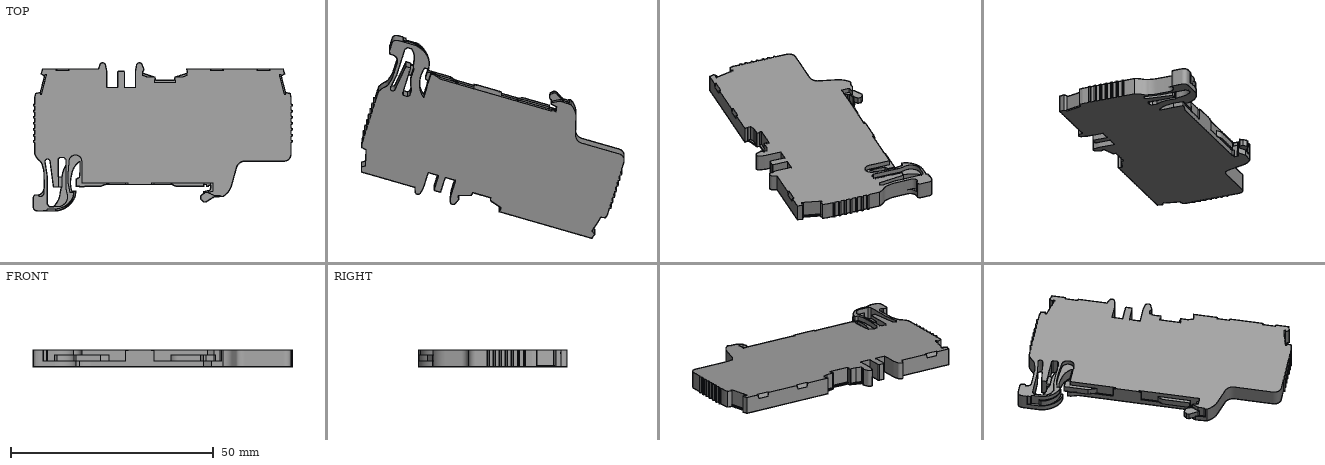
import cadquery as cq

THICKNESS = 4.2
BASE_TOP = 1.4
MID_TOP = 3.0
LEDGE_TOP = 0.35
GUSSET_TOP = 1.25

MID_X = 32.0
SIDE_X = 0.4
TOP_Y = 35.1
RAIL_Y = 6.9
STRIP_Y = 6.55
RAIL_LEFT_X = 12.0
RAIL_RIGHT_X = 44.4
RIGHT_STEP_Y = 12.3
RIGHT_CORNER_R = 1.75
MIDDLE_PAD = (22.8, 29.85)
PAD_STEP = 0.6
PAD_STEP_Z = 4.0

BLOCK_LEFT_X = 10.6
BLOCK_TOP_Y = 7.9
BLOCK_FACE_Y = 6.1
BASE_LEFT_X = 11.5
HOOK_WALL_X = 43.75

ARM_X = 2.7
TOE_TOP_Y = 4.0
GUSSET_START_X = 1.3
GUSSET_END_Y = 5.8
FINGER_RIGHT_X = 6.25
FINGER_END_Y = 5.9
SLOT_END_Y = 1.15

PLUG_X = 21.7
PLUG_FLOOR_Y = 30.5
PLUG_HALF = 3.53
POST_HALF = 0.85
POST_TOP_Y = 34.5
POST_CHAMFER = 0.2
EAR_TIP_Y = 36.62
EAR_SHOULDER_Y = 36.1
EAR_WALL_TOP_Y = 34.6

BRIDGE_X = 32.5
BRIDGE_FLOOR_Y = 32.3
BRIDGE_RECESS_Y = 31.75
BRIDGE_FLOOR_HALF = 2.3
BRIDGE_RECESS_HALF = 2.6
LIP_HALF = 5.5
LIP_STEP_Y = 33.05

RIB_COUNT = 7
RIB_PITCH = 1.49
RIB_FIRST_Y = 17.2
RIB_HEIGHT = 0.33
RIB_ROOT = 0.6
RIB_TIP = 0.35
SCOOP_CENTRES = (7.3, 45.3, 56.8)
SCOOP_LENGTH = 3.2
SCOOP_RUNOUT = 0.3
SCOOP_DEPTH = 0.4
SCOOP_DROP = 1.0
WEB_WIDTH = 0.9
WEB_UPPER_Y = 8.45
WEB_BOTTOM = 2.4
WEB_TOP = 3.4
CLEAR = 2.0


def layer(profile, bottom, top):
    """Close a profile and extrude it between two heights."""
    return profile.close().extrude(top - bottom).translate((0, 0, bottom))


def polygon(points, bottom, top):
    """Straight-sided prism between two heights."""
    return layer(cq.Workplane("XY").polyline(points), bottom, top)


def box(x_range, y_range, bottom, top):
    """Rectangular block between two heights."""
    (x0, x1), (y0, y1) = x_range, y_range
    return polygon([(x0, y0), (x1, y0), (x1, y1), (x0, y1)], bottom, top)


def mirrored(points, axis_x):
    """Points mirrored about x = axis_x, in reverse order."""
    return [(2 * axis_x - x, y) for x, y in reversed(points)]


def housing():
    """Full-thickness silhouette, clockwise from the lower left of the side wall."""
    flank = [
        (SIDE_X, 28.1), (0.6, 29.05), (1.75, 29.25), (2.8, 33.3), (1.95, 33.85), (2.2, 34.6), (2.3, TOP_Y),
    ]
    lip = [(LIP_HALF - 0.4, 34.9), (LIP_HALF, 34.4), (LIP_HALF - 0.1, 34.0),
           (BRIDGE_FLOOR_HALF + 0.15, LIP_STEP_Y), (BRIDGE_FLOOR_HALF, BRIDGE_FLOOR_Y)]
    left_lip = [(BRIDGE_X - dx, y) for dx, y in lip]
    right_lip = [(BRIDGE_X + dx, y) for dx, y in reversed(lip[1:])]
    right_lip.append((BRIDGE_X + LIP_HALF - 0.2, TOP_Y))
    plug_left = PLUG_X - PLUG_HALF
    plug_right = PLUG_X + PLUG_HALF
    post_left = PLUG_X - POST_HALF
    post_right = PLUG_X + POST_HALF
    post_shoulder = POST_TOP_Y - POST_CHAMFER
    right_x = 2 * MID_X - SIDE_X

    profile = cq.Workplane("XY").moveTo(SIDE_X, 14.1)
    for point in flank:
        profile = profile.lineTo(*point)
    profile = (
        profile
        .lineTo(16.1, TOP_Y)
        .lineTo(16.45, EAR_SHOULDER_Y)
        .threePointArc((17.15, EAR_TIP_Y), (17.85, EAR_SHOULDER_Y))
        .lineTo(plug_left, EAR_WALL_TOP_Y)
        .lineTo(plug_left, PLUG_FLOOR_Y)
        .lineTo(post_left, PLUG_FLOOR_Y)
        .lineTo(post_left, post_shoulder)
        .lineTo(post_left + POST_CHAMFER, POST_TOP_Y)
        .lineTo(post_right - POST_CHAMFER, POST_TOP_Y)
        .lineTo(post_right, post_shoulder)
        .lineTo(post_right, PLUG_FLOOR_Y)
        .lineTo(plug_right, PLUG_FLOOR_Y)
        .lineTo(plug_right, EAR_WALL_TOP_Y)
        .lineTo(25.5, EAR_SHOULDER_Y)
        .threePointArc((26.2, EAR_TIP_Y), (26.9, EAR_SHOULDER_Y))
    )
    for point in left_lip + right_lip + mirrored(flank, MID_X):
        profile = profile.lineTo(*point)
    profile = (
        profile
        .lineTo(right_x, RIGHT_STEP_Y + RIGHT_CORNER_R)
        .radiusArc((right_x - RIGHT_CORNER_R, RIGHT_STEP_Y), RIGHT_CORNER_R)
        .lineTo(52.2, RIGHT_STEP_Y)
        .threePointArc((50.9, 11.85), (50.15, 10.7))
        .lineTo(49.0, 6.5)
        .tangentArcPoint((46.85, 3.6), relative=False)
        .lineTo(44.0, 3.46)
        .lineTo(42.05, 4.5)
        .lineTo(42.05, 4.85)
        .lineTo(43.55, 5.15)
        .lineTo(HOOK_WALL_X, 5.7)
        .lineTo(HOOK_WALL_X, 6.4)
        .lineTo(43.3, 6.35)
        .lineTo(43.2, 6.1)
        .lineTo(42.8, 6.1)
        .lineTo(42.7, STRIP_Y)
        .lineTo(14.2, STRIP_Y)
        .lineTo(12.3, 5.95)
        .lineTo(BASE_LEFT_X, 5.95)
        .lineTo(BLOCK_LEFT_X, BLOCK_FACE_Y)
        .lineTo(BLOCK_LEFT_X, 4.95)
        .lineTo(10.4, 3.7)
        .threePointArc((8.6, 1.2), (5.5, 0))
        .lineTo(1.4, 0)
        .lineTo(1.0, 0.05)
        .threePointArc((0.295, 0.37), (0, 1.1))
        .lineTo(0, 3.2)
        .threePointArc((0.106, 3.647), (0.4, TOE_TOP_Y))
        .lineTo(GUSSET_START_X, TOE_TOP_Y)
        .threePointArc((2.31, 4.66), (ARM_X, GUSSET_END_Y))
        .lineTo(ARM_X, 7.05)
        .lineTo(2.67, 8.9)
        .threePointArc((2.6, 10.0), (2.3, 11.1))
        .threePointArc((2.05, 11.85), (1.6, 12.4))
        .threePointArc((0.9, 13.15), (SIDE_X, 14.1))
    )
    return layer(profile, 0, THICKNESS)


def toe_relief():
    """Sharpens the inside corner between arm and toe above the gusset."""
    profile = (
        cq.Workplane("XY")
        .moveTo(GUSSET_START_X, GUSSET_END_Y)
        .lineTo(ARM_X, GUSSET_END_Y)
        .lineTo(ARM_X, 4.6)
        .tangentArcPoint((1.45, 3.65), relative=False)
        .lineTo(GUSSET_START_X, TOE_TOP_Y)
    )
    return layer(profile, GUSSET_TOP, THICKNESS)


def arm_slot():
    """Through slot beside the outer spring arm, wide below the finger."""
    profile = (
        cq.Workplane("XY")
        .moveTo(2.95, 12.3)
        .threePointArc((3.5, 12.85), (4.15, 12.3))
        .lineTo(5.0, FINGER_END_Y)
        .lineTo(6.95, FINGER_END_Y)
        .lineTo(6.65, 4.6)
        .threePointArc((6.2, 2.75), (5.05, SLOT_END_Y))
        .lineTo(3.95, SLOT_END_Y)
        .lineTo(3.5, 1.8)
        .lineTo(3.5, 8.7)
    )
    return layer(profile, 0, THICKNESS)


def beam_slot():
    """Through slot between the finger and the curved spring beam."""
    profile = (
        cq.Workplane("XY")
        .moveTo(FINGER_RIGHT_X, FINGER_END_Y)
        .lineTo(FINGER_RIGHT_X, 12.85)
        .lineTo(6.6, 13.2)
        .lineTo(7.65, 13.2)
        .lineTo(8.08, 12.7)
        .lineTo(8.08, 11.4)
        .threePointArc((7.3, 9.5), (7.05, 7.9))
        .lineTo(7.15, FINGER_END_Y)
    )
    return layer(profile, 0, THICKNESS)


def beam_floor():
    """Lowers the left half of the spring beam."""
    profile = (
        cq.Workplane("XY")
        .moveTo(FINGER_RIGHT_X, 12.7)
        .lineTo(8.08, 12.7)
        .lineTo(8.1, 5.6)
        .lineTo(8.32, 4.5)
        .threePointArc((8.1, 2.2), (6.6, SLOT_END_Y))
        .lineTo(4.0, SLOT_END_Y)
        .lineTo(5.0, FINGER_END_Y)
        .lineTo(FINGER_RIGHT_X, FINGER_END_Y)
    )
    return layer(profile, MID_TOP, THICKNESS)


def crescent():
    """Through opening between the spring beam and the body."""
    profile = (
        cq.Workplane("XY")
        .moveTo(9.55, 4.95)
        .threePointArc((9.25, 6.9), (9.55, 9.1))
        .threePointArc((10.35, 11.1), (11.55, 12.3))
        .lineTo(11.55, 9.9)
        .lineTo(11.4, 8.35)
        .lineTo(BLOCK_LEFT_X, BLOCK_TOP_Y)
        .lineTo(BLOCK_LEFT_X, 4.95)
    )
    return layer(profile, 0, THICKNESS)


def spring_relief():
    """Upper pocket beside the body, running out along the rim of the foot."""
    profile = (
        cq.Workplane("XY")
        .moveTo(RAIL_LEFT_X, RAIL_Y)
        .lineTo(RAIL_LEFT_X, 12.4)
        .threePointArc((10.43, 13.85), (8.88, 12.4))
        .lineTo(8.65, 9.6)
        .lineTo(8.65, 6.8)
        .lineTo(9.1, 4.55)
        .lineTo(10.0, 4.55)
        .lineTo(9.85, 3.6)
        .threePointArc((8.3, 1.55), (5.3, 0.55))
        .lineTo(5.3, -CLEAR)
        .lineTo(RAIL_LEFT_X, -CLEAR)
    )
    return layer(profile, MID_TOP, THICKNESS)


def foot_recess():
    """Recess in the lower face of the foot."""
    points = [(2.5, 0), (2.6, 0.12), (3.3, 0.12), (3.5, 0.55), (5.3, 0.55), (6.05, 0)]
    return polygon(points, BASE_TOP, THICKNESS)


def foot_rim_step():
    """Sets the curved rim of the foot back a little above the base layer."""
    profile = (
        cq.Workplane("XY")
        .moveTo(5.6, 0.1)
        .threePointArc((8.45, 1.35), (10.0, 3.9))
        .lineTo(10.1, 5.0)
        .lineTo(BLOCK_LEFT_X + CLEAR, 5.0)
        .lineTo(BLOCK_LEFT_X + CLEAR, -CLEAR)
        .lineTo(5.6, -CLEAR)
    )
    return layer(profile, BASE_TOP, THICKNESS)


def base_end_cut():
    """Ends the base strip short of the left rail block, which overhangs it."""
    return box((BLOCK_LEFT_X, BASE_LEFT_X), (5.5, 8.5), 0, BASE_TOP)


def hook_relief():
    """Clears the hook zone around the end of the right leg."""
    above_hook = polygon(
        [(RAIL_RIGHT_X, RAIL_Y), (RAIL_RIGHT_X, 4.95), (43.0, 4.62), (41.0, 4.62), (41.0, RAIL_Y)],
        MID_TOP, THICKNESS)
    below_rim = polygon(
        [(41.0, 4.62), (43.0, 4.62), (44.6, 3.9), (46.1, 3.85), (46.6, 3.5), (46.6, 3.0), (41.0, 3.0)],
        BASE_TOP, THICKNESS)
    return above_hook.union(below_rim)


def hook():
    """Rail hook at the end of the right leg."""
    points = [(44.6, 3.45), (44.2, 3.25), (42.6, 2.25), (42.05, 2.25), (41.3, 2.95), (41.3, 3.8),
              (42.3, 4.55), (43.2, 4.7), (45.0, 3.9)]
    return polygon(points, BASE_TOP, MID_TOP)


def strip_recesses():
    """Set the rail wall back above the base strip, left and right of the middle pad."""
    y_range = (STRIP_Y - CLEAR / 2, RAIL_Y)
    left = box((BLOCK_LEFT_X, MIDDLE_PAD[0]), y_range, BASE_TOP, THICKNESS)
    right = box((MIDDLE_PAD[1], HOOK_WALL_X), y_range, BASE_TOP, THICKNESS)
    left_step = box((BLOCK_LEFT_X, MIDDLE_PAD[0] + PAD_STEP), y_range, PAD_STEP_Z, THICKNESS)
    right_step = box((MIDDLE_PAD[1] - PAD_STEP, HOOK_WALL_X), y_range, PAD_STEP_Z, THICKNESS)
    return left.union(right).union(left_step).union(right_step)


def rail_blocks():
    """Blocks that stand out from the rail wall and touch the rail."""
    left = polygon(
        [(BLOCK_LEFT_X, BLOCK_TOP_Y), (BLOCK_LEFT_X, BLOCK_FACE_Y), (16.6, BLOCK_FACE_Y),
         (18.75, RAIL_Y), (RAIL_LEFT_X, RAIL_Y), (BASE_LEFT_X, BLOCK_TOP_Y)],
        BASE_TOP, MID_TOP)
    right = layer(
        cq.Workplane("XY")
        .moveTo(33.95, RAIL_Y)
        .threePointArc((34.75, 6.3), (35.9, BLOCK_FACE_Y))
        .lineTo(42.1, BLOCK_FACE_Y)
        .lineTo(42.1, RAIL_Y),
        BASE_TOP, MID_TOP)
    return left.union(right)


def side_notches():
    """Set the slanted notch walls back above a thin ledge, on both flanks."""
    points = [(1.75, 29.25), (2.8, 33.3), (2.95, 33.75), (3.3, 33.65), (2.05, 28.75), (1.8, 28.8)]
    left = polygon(points, LEDGE_TOP, THICKNESS)
    right = polygon(mirrored(points, MID_X), LEDGE_TOP, THICKNESS)
    return left.union(right)


def bridge_recesses():
    """Set the floor and the sloping shoulders of the jumper opening back above a thin ledge."""
    floor = box((BRIDGE_X - BRIDGE_RECESS_HALF, BRIDGE_X + BRIDGE_RECESS_HALF),
                (BRIDGE_RECESS_Y, BRIDGE_FLOOR_Y), LEDGE_TOP, THICKNESS)
    shoulder = [(BRIDGE_X + 2.5, LIP_STEP_Y), (BRIDGE_X + 4.3, LIP_STEP_Y),
                (BRIDGE_X + LIP_HALF, 33.5), (BRIDGE_X + LIP_HALF, 34.2)]
    right = polygon(shoulder, LEDGE_TOP, THICKNESS)
    left = polygon(mirrored(shoulder, BRIDGE_X), LEDGE_TOP, THICKNESS)
    return floor.union(right).union(left)


def scoop(centre_x):
    """Sloping scoop in the upper edge, deepest at the top face."""
    half = SCOOP_LENGTH / 2
    return (
        cq.Workplane("XZ", origin=(centre_x, TOP_Y, 0))
        .moveTo(-half, THICKNESS)
        .lineTo(-half + SCOOP_RUNOUT, THICKNESS - SCOOP_DROP)
        .lineTo(half - SCOOP_RUNOUT, THICKNESS - SCOOP_DROP)
        .lineTo(half, THICKNESS)
        .close()
        .extrude(SCOOP_DEPTH)
        .intersect(scoop_wedge(centre_x))
    )


def scoop_wedge(centre_x):
    """Wedge that gives a scoop its sloping floor."""
    return (
        cq.Workplane("YZ", origin=(centre_x - SCOOP_LENGTH, 0, 0))
        .moveTo(TOP_Y, THICKNESS)
        .lineTo(TOP_Y - SCOOP_DEPTH, THICKNESS)
        .lineTo(TOP_Y, THICKNESS - SCOOP_DROP)
        .close()
        .extrude(2 * SCOOP_LENGTH)
    )


def grip_ribs():
    """Grip ribs on both side walls."""
    ribs = cq.Workplane("XY")
    tip_x = SIDE_X - RIB_HEIGHT
    inner_x = SIDE_X + RIB_HEIGHT
    for index in range(RIB_COUNT):
        y = RIB_FIRST_Y + index * RIB_PITCH
        lower = [(inner_x, y - RIB_ROOT / 2), (SIDE_X, y - RIB_ROOT / 2), (tip_x, y - RIB_TIP / 2)]
        upper = [(tip_x, y + RIB_TIP / 2), (SIDE_X, y + RIB_ROOT / 2), (inner_x, y + RIB_ROOT / 2)]
        points = lower + upper
        ribs = ribs.add(polygon(points, 0, THICKNESS))
        ribs = ribs.add(polygon(mirrored(points, MID_X), 0, THICKNESS))
    return ribs.combine()


def finger_web():
    """Small web joining the end of the finger to the spring beam."""
    x_range = (FINGER_RIGHT_X, FINGER_RIGHT_X + WEB_WIDTH)
    return box(x_range, (FINGER_END_Y, WEB_UPPER_Y), WEB_BOTTOM, WEB_TOP)


spring_cuts = [toe_relief(), arm_slot(), beam_slot(), beam_floor(), crescent(), spring_relief()]
foot_cuts = [foot_recess(), foot_rim_step()]
rail_cuts = [base_end_cut(), strip_recesses(), hook_relief()]
upper_cuts = [side_notches(), bridge_recesses()]
scoops = [scoop(centre_x) for centre_x in SCOOP_CENTRES]

part = housing()
for cutter in spring_cuts + foot_cuts + rail_cuts + upper_cuts + scoops:
    part = part.cut(cutter)
for addition in (rail_blocks(), hook(), finger_web(), grip_ribs()):
    part = part.union(addition)

result = part